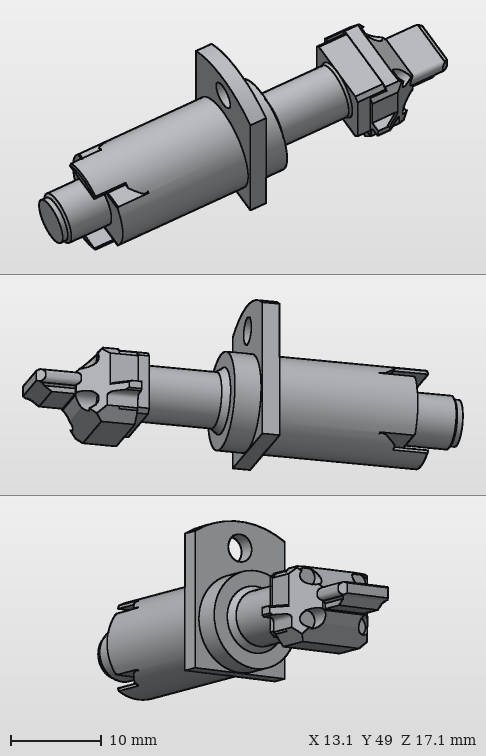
import cadquery as cq


FLANGE_THICKNESS = 2.0
FLANGE_WIDTH = 12.0
FLANGE_TOP_RADIUS = 11.5
FLANGE_BOTTOM_Z = -5.56
FLANGE_HOLE_DIAMETER = 3.1
FLANGE_HOLE_Z = 8.5

BARREL_RADIUS = 5.5
BARREL_REAR_Y = 5.0
ROD_RADIUS = 3.15
SHOULDER_RADIUS = 3.75
SHOULDER_REAR_Y = 5.85
ROD_FLARE_Y = 14.2
ROD_FLARE_RADIUS = 3.35
PIN_RADIUS = 3.0
PIN_TIP_RADIUS = 2.62
PIN_SHOULDER_Y = -21.1
PIN_CONE_LENGTH = 0.25
PIN_TIP_Y = -22.0

CHEEK_REAR_Y = -12.0
CHEEK_FRONT_Y = -16.0
CHEEK_HALF_HEIGHT = 3.45
CHEEK_CHAMFER = 0.12
SLIT_HEIGHT = 0.1
SLOPE_REAR_Y = -12.6
PRONG_ROOT_Y = -14.0
PRONG_FRONT_Y = -18.0
PRONG_INNER_Z = 4.45
PRONG_WIDTH = 5.35
PRONG_BEVEL_LENGTH = 0.15
PRONG_BEVEL_DEPTH = 0.25

BLOCK_FRONT_Y = 14.55
BLOCK_REAR_Y = 18.1
BLOCK_WIDTH = 9.0
BLOCK_TOP_Z = 3.32
BLOCK_BOTTOM_Z = -3.82
BLOCK_CHAMFER = 0.5
BLOCK_CLEARANCE = 0.29

HEAD_FRONT_Y = 16.0
HEAD_TOP_SHOULDER_Y = 19.75
HEAD_BOTTOM_SHOULDER_Y = 19.84
HEAD_NOSE_Y = 22.5
HEAD_SLOPE_END_Z = 1.18
NOSE_BOTTOM_Z = -1.88
NOSE_KNEE_Y = 21.77
HEAD_TOP_Z = 3.37
HEAD_CROWN_EDGE_Z = 3.3
HEAD_SIDE_TOP_Z = 2.45
HEAD_SIDE_BOTTOM_Z = -3.6
HEAD_BOTTOM_HALF_WIDTH = 3.75
HEAD_BOTTOM_Z = -5.11
HEAD_HALF_WIDTH = 5.25
HEAD_LOWER_HALF_WIDTH = 5.05
HEAD_TOP_HALF_WIDTH = 3.42
HEAD_CROWN_HALF_WIDTH = 4.5
WING_HALF_SPAN = 6.55
WING_TAPER_Y = 17.45
TAPER_END_Y = 22.0
WING_TOP_Z = -1.0
WING_BOTTOM_Z = -2.04
WING_BEVEL = 0.2
WING_ROOT_FILLET = 0.5
SCOOP_RADIUS = 1.1
SCOOP_X = 3.4
SCOOP_HEIGHTS = (2.15, -2.7)
SCOOP_FLOOR_Y = 20.0

BLADE_ROOT_Y = 22.0
BLADE_REAR_Y = 27.0
BLADE_TIP_BOTTOM_Z = -0.65
BLADE_HALF_WIDTH = 3.3
BLADE_TIP_HALF_WIDTH = 2.73
BLADE_TOP_FILLET = 0.57
BLADE_BOTTOM_FILLET = 0.65
BLADE_TOP_Z = 0.7
BLADE_BOTTOM_Z = -0.87
BLADE_TAPER_Y = 26.1
BLADE_TIP_CHAMFER_LENGTH = 0.45
BLADE_TIP_CHAMFER_HEIGHT = 0.2
RIB_HALF_WIDTH = 2.6
RIB_ROOT_CHAMFER = 0.25
RIB_BOTTOM_Z = -1.73
RIB_SLOPE_Y = 25.2
RIB_END_Y = 26.4

CUT_REACH = 20.0


def mirrored_outline(plane, half_points):
    """Closed sketch from the points of one half, mirrored in its first coordinate."""
    other_half = [(-u, v) for u, v in reversed(half_points)]
    return cq.Workplane(plane).polyline(half_points + other_half).close()


def along_y(half_points, front_y, rear_y):
    """Prism along Y with a symmetric XZ section."""
    prism = mirrored_outline("XZ", half_points).extrude(front_y - rear_y)
    return prism.translate((0, front_y, 0))


def across_x(yz_points, width):
    """Prism centred on X = 0 with the given YZ profile."""
    return cq.Workplane("YZ").polyline(yz_points).close().extrude(width / 2, both=True)


def revolve_about_y(radius_y_points):
    return cq.Workplane("XY").polyline(radius_y_points).close().revolve(360, (0, 0), (0, 1))


def make_flange():
    half_width = FLANGE_WIDTH / 2
    corner_z = (FLANGE_TOP_RADIUS**2 - half_width**2) ** 0.5
    plate = (
        cq.Workplane("XZ")
        .moveTo(-half_width, FLANGE_BOTTOM_Z)
        .lineTo(half_width, FLANGE_BOTTOM_Z)
        .lineTo(half_width, corner_z)
        .threePointArc((0, FLANGE_TOP_RADIUS), (-half_width, corner_z))
        .close()
        .extrude(-FLANGE_THICKNESS)
    )
    hole = (
        cq.Workplane("XZ")
        .center(0, FLANGE_HOLE_Z)
        .circle(FLANGE_HOLE_DIAMETER / 2)
        .extrude(-FLANGE_THICKNESS)
    )
    return plate.cut(hole)


def make_shaft():
    return revolve_about_y([
        (0, PIN_TIP_Y),
        (PIN_TIP_RADIUS, PIN_TIP_Y),
        (PIN_TIP_RADIUS, PIN_SHOULDER_Y - PIN_CONE_LENGTH),
        (PIN_RADIUS, PIN_SHOULDER_Y),
        (PIN_RADIUS, BARREL_REAR_Y),
        (SHOULDER_RADIUS, BARREL_REAR_Y),
        (ROD_RADIUS, SHOULDER_REAR_Y),
        (ROD_RADIUS, ROD_FLARE_Y),
        (ROD_FLARE_RADIUS, BLOCK_FRONT_Y),
        (0, BLOCK_FRONT_Y),
    ])


def make_cheek_envelope():
    """Bar that keeps only the side cheeks at the barrel front, with bevelled front edges."""
    beveled_height = CHEEK_HALF_HEIGHT - CHEEK_CHAMFER
    return across_x([
        (CHEEK_REAR_Y, CHEEK_HALF_HEIGHT),
        (CHEEK_FRONT_Y + CHEEK_CHAMFER, CHEEK_HALF_HEIGHT),
        (CHEEK_FRONT_Y, beveled_height),
        (CHEEK_FRONT_Y, -beveled_height),
        (CHEEK_FRONT_Y + CHEEK_CHAMFER, -CHEEK_HALF_HEIGHT),
        (CHEEK_REAR_Y, -CHEEK_HALF_HEIGHT),
    ], CUT_REACH)


def make_upper_prong_envelope():
    """Slab above the notch, narrowed to the prong width ahead of the prong root."""
    slit_top_z = CHEEK_HALF_HEIGHT + SLIT_HEIGHT
    wide = across_x([
        (CHEEK_REAR_Y, slit_top_z),
        (SLOPE_REAR_Y, slit_top_z),
        (PRONG_ROOT_Y, PRONG_INNER_Z),
        (PRONG_ROOT_Y, BARREL_RADIUS),
        (CHEEK_REAR_Y, BARREL_RADIUS),
    ], CUT_REACH)
    narrow = across_x([
        (PRONG_ROOT_Y, PRONG_INNER_Z),
        (PRONG_FRONT_Y, PRONG_INNER_Z),
        (PRONG_FRONT_Y, BARREL_RADIUS),
        (PRONG_ROOT_Y, BARREL_RADIUS),
    ], PRONG_WIDTH)
    return wide.union(narrow)


def make_barrel():
    solid_barrel = revolve_about_y([
        (0, PRONG_FRONT_Y),
        (BARREL_RADIUS - PRONG_BEVEL_DEPTH, PRONG_FRONT_Y),
        (BARREL_RADIUS, PRONG_FRONT_Y + PRONG_BEVEL_LENGTH),
        (BARREL_RADIUS, BARREL_REAR_Y),
        (0, BARREL_REAR_Y),
    ])
    rear_length = BARREL_REAR_Y - CHEEK_REAR_Y
    rear = cq.Workplane("XY").box(CUT_REACH, rear_length, CUT_REACH)
    rear = rear.translate((0, CHEEK_REAR_Y + rear_length / 2, 0))
    upper_prong = make_upper_prong_envelope()
    envelope = rear.union(make_cheek_envelope()).union(upper_prong).union(upper_prong.mirror("XY"))
    return solid_barrel.intersect(envelope)


def make_neck_block():
    half_width = BLOCK_WIDTH / 2
    section = [
        (half_width - BLOCK_CHAMFER, BLOCK_TOP_Z),
        (half_width, BLOCK_TOP_Z - BLOCK_CHAMFER),
        (half_width, BLOCK_BOTTOM_Z + BLOCK_CHAMFER),
        (half_width - BLOCK_CHAMFER, BLOCK_BOTTOM_Z),
    ]
    return along_y(section, BLOCK_FRONT_Y, BLOCK_REAR_Y)


def make_block_pocket():
    """Open-topped pocket in the head front that receives the neck block with side clearance."""
    half_width = BLOCK_WIDTH / 2 + BLOCK_CLEARANCE
    return along_y([
        (half_width, HEAD_TOP_Z),
        (half_width, BLOCK_BOTTOM_Z),
    ], HEAD_FRONT_Y, BLOCK_REAR_Y)


def make_head():
    """Winged head: intersection of its side profile, plan outline and cross-section."""
    knee_z = HEAD_BOTTOM_Z + NOSE_KNEE_Y - HEAD_BOTTOM_SHOULDER_Y
    profile = across_x([
        (HEAD_FRONT_Y, HEAD_TOP_Z),
        (HEAD_TOP_SHOULDER_Y, HEAD_TOP_Z),
        (TAPER_END_Y, HEAD_SLOPE_END_Z),
        (HEAD_NOSE_Y, BLADE_TOP_Z),
        (HEAD_NOSE_Y, NOSE_BOTTOM_Z),
        (NOSE_KNEE_Y, knee_z),
        (HEAD_BOTTOM_SHOULDER_Y, HEAD_BOTTOM_Z),
        (HEAD_FRONT_Y, HEAD_BOTTOM_Z),
    ], CUT_REACH)
    taper_slope = (WING_HALF_SPAN - BLADE_HALF_WIDTH) / (TAPER_END_Y - WING_TAPER_Y)
    nose_half_width = BLADE_HALF_WIDTH - taper_slope * (HEAD_NOSE_Y - TAPER_END_Y)
    plan = mirrored_outline("XY", [
        (WING_HALF_SPAN, HEAD_FRONT_Y),
        (WING_HALF_SPAN, WING_TAPER_Y),
        (nose_half_width, HEAD_NOSE_Y),
    ]).extrude(CUT_REACH, both=True)
    section = along_y([
        (HEAD_TOP_HALF_WIDTH, HEAD_TOP_Z),
        (HEAD_CROWN_HALF_WIDTH, HEAD_CROWN_EDGE_Z),
        (HEAD_HALF_WIDTH, HEAD_SIDE_TOP_Z),
        (HEAD_HALF_WIDTH, WING_TOP_Z),
        (WING_HALF_SPAN, WING_TOP_Z),
        (WING_HALF_SPAN, WING_BOTTOM_Z + WING_BEVEL),
        (WING_HALF_SPAN - WING_BEVEL, WING_BOTTOM_Z),
        (HEAD_LOWER_HALF_WIDTH, WING_BOTTOM_Z),
        (HEAD_LOWER_HALF_WIDTH, HEAD_SIDE_BOTTOM_Z),
        (HEAD_BOTTOM_HALF_WIDTH, HEAD_BOTTOM_Z),
    ], HEAD_FRONT_Y, HEAD_NOSE_Y)
    mid_y = (HEAD_FRONT_Y + HEAD_NOSE_Y) / 2
    for side in (-1, 1):
        wing_root = (side * HEAD_LOWER_HALF_WIDTH, mid_y, WING_BOTTOM_Z)
        section = section.edges(cq.NearestToPointSelector(wing_root)).fillet(WING_ROOT_FILLET)
    head = profile.intersect(plan).intersect(section)
    wing_edge_x = (HEAD_HALF_WIDTH + WING_HALF_SPAN) / 2
    wing_edge_y = WING_TAPER_Y + (WING_HALF_SPAN - wing_edge_x) / taper_slope
    for side in (-1, 1):
        wing_edge = (side * wing_edge_x, wing_edge_y, WING_TOP_Z)
        head = head.edges(cq.NearestToPointSelector(wing_edge)).chamfer(WING_BEVEL)
    for scoop_z in SCOOP_HEIGHTS:
        for side in (-1, 1):
            scoop = cq.Workplane("XZ").circle(SCOOP_RADIUS).extrude(SCOOP_FLOOR_Y - BLADE_REAR_Y)
            head = head.cut(scoop.translate((side * SCOOP_X, SCOOP_FLOOR_Y, scoop_z)))
    return head.cut(make_block_pocket())


def make_blade():
    bar = along_y([
        (BLADE_HALF_WIDTH, BLADE_TOP_Z),
        (BLADE_HALF_WIDTH, BLADE_BOTTOM_Z),
    ], BLADE_ROOT_Y, BLADE_REAR_Y)
    bar = bar.faces(">Z").edges("|Y").fillet(BLADE_TOP_FILLET)
    bar = bar.faces("<Z").edges("|Y").fillet(BLADE_BOTTOM_FILLET)
    rib = along_y([
        (RIB_HALF_WIDTH, BLADE_BOTTOM_Z + BLADE_BOTTOM_FILLET),
        (RIB_HALF_WIDTH + RIB_ROOT_CHAMFER, BLADE_BOTTOM_Z),
        (RIB_HALF_WIDTH, BLADE_BOTTOM_Z - RIB_ROOT_CHAMFER),
        (RIB_HALF_WIDTH, RIB_BOTTOM_Z),
    ], BLADE_ROOT_Y, BLADE_REAR_Y)
    profile = across_x([
        (BLADE_ROOT_Y, BLADE_TOP_Z),
        (BLADE_REAR_Y - BLADE_TIP_CHAMFER_LENGTH, BLADE_TOP_Z),
        (BLADE_REAR_Y, BLADE_TOP_Z - BLADE_TIP_CHAMFER_HEIGHT),
        (BLADE_REAR_Y, BLADE_TIP_BOTTOM_Z),
        (RIB_END_Y, BLADE_BOTTOM_Z),
        (RIB_SLOPE_Y, RIB_BOTTOM_Z),
        (BLADE_ROOT_Y, RIB_BOTTOM_Z),
    ], CUT_REACH)
    plan = mirrored_outline("XY", [
        (BLADE_HALF_WIDTH, BLADE_ROOT_Y),
        (BLADE_HALF_WIDTH, BLADE_TAPER_Y),
        (BLADE_TIP_HALF_WIDTH, BLADE_REAR_Y),
    ]).extrude(CUT_REACH, both=True)
    return bar.union(rib).intersect(profile).intersect(plan)


result = make_barrel()
for piece in (make_shaft(), make_flange(), make_neck_block(), make_head()):
    result = result.union(piece)
result = result.union(make_blade())